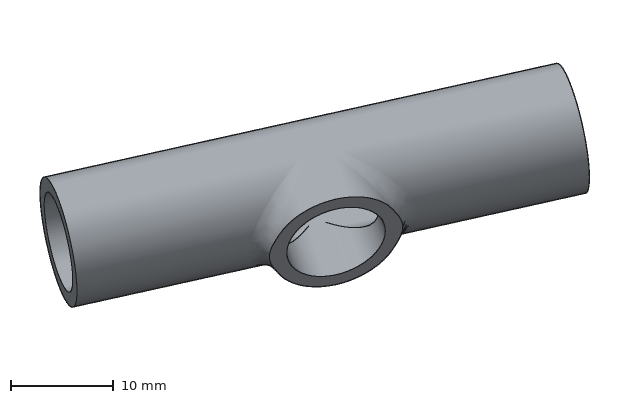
import cadquery as cq

run_length = 52.0
outer_diameter = 13.0
bore_diameter = 10.0
branch_reach = 7.5
blend_radius = 2.0

outer_radius = outer_diameter / 2
untrimmed_reach = 2 * outer_diameter


def run_cylinder(diameter):
    """Cylinder along Y, centred on the origin."""
    return cq.Workplane("XZ").circle(diameter / 2).extrude(run_length / 2, both=True)


def branch_cylinder(diameter):
    """Cylinder along +X, starting on the run axis."""
    return cq.Workplane("YZ").circle(diameter / 2).extrude(untrimmed_reach)


def blended_body():
    """Solid tee with the crossing of its two cylinders filleted, then trimmed."""
    body = run_cylinder(outer_diameter).union(branch_cylinder(outer_diameter))
    body = body.edges("%ELLIPSE").fillet(blend_radius)
    trim_length = outer_radius + branch_reach
    envelope = cq.Workplane("XY").box(
        trim_length, run_length, outer_diameter
    ).translate((branch_reach - trim_length / 2, 0, 0))
    return body.intersect(envelope)


result = blended_body().cut(run_cylinder(bore_diameter)).cut(branch_cylinder(bore_diameter))